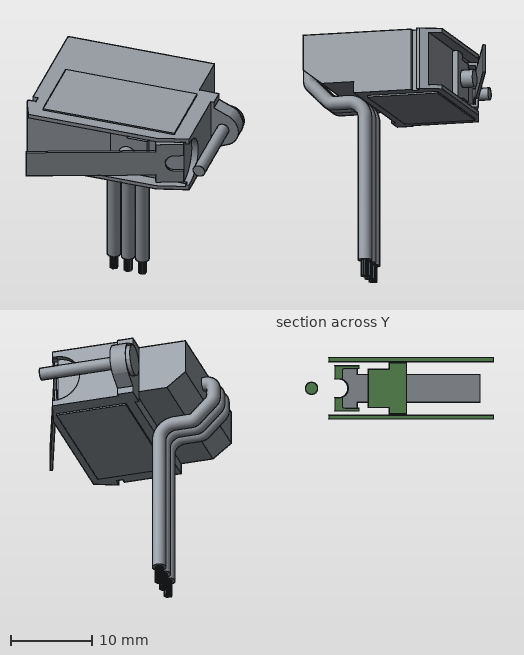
import cadquery as cq
import math


HEIGHT = 7.6
MID_Z = HEIGHT / 2
DEPTH = 17.59
BODY_LEFT = 0.38
BODY_RIGHT = 21.54
BACK_RIGHT = 19.4
HOOK_FRONT_X = 1.05
HOOK_TIP_Y = 2.6
NOTCH_FRONT_Y = 2.95
NOTCH_BACK_Y = 3.77
BEVEL_START_X = 17.65
BEVEL_END_Y = 1.08

RELIEF_FRONT_Y = 11.12
RELIEF_Z = 1.4
CHAMFER_FRONT_Y = 15.22
CHAMFER_TOP_Z = 3.22

POCKET_FLOOR_Y = 1.55
POCKET_BOTTOM_Z = 0.5
POCKET_TOP_Z = 7.08
POCKET_RIGHT = 21.1
SCOOP_LEFT = 20.72
SCOOP_RADIUS = 3.05

PAD_LEFT = 11.38
PAD_STEP_X = 13.55
PAD_RIGHT = 16.15
PAD_FRONT_Y = 0.88
PAD_WIDE = 6.25
PAD_NARROW = 4.77
PLUNGER_X = 13.58
PLUNGER_RADIUS = 1.08
PLUNGER_TIP_Y = -0.65

LABEL_LEFT = 2.43
LABEL_LENGTH = 17.05
LABEL_WIDTH = 8.98
LABEL_THICKNESS = 0.2
TOP_LABEL_FRONT_Y = 1.43
BOTTOM_LABEL_FRONT_Y = 0.97

LUG_FRONT_Y = 9.63
LUG_BACK_Y = 11.62
LUG_BLOCK_RIGHT = 21.95
LUG_ROOT_HALF = 2.95
LUG_ARC_X = 23.95
LUG_ARC_HALF = 2.05
LUG_TIP_X = 25.1
SCREW_X = 23.12
SHAFT_RADIUS = 0.75
SHAFT_TIP_Y = 0.12
HEAD_RADIUS = 1.93
HEAD_THICKNESS = 0.55

LEVER_ANGLE = 18.9
LEVER_BEND_X = 17.55
LEVER_THICKNESS = 0.32
ARM_LENGTH = 15.98
ARM_WIDTH = 3.45
SHOULDER_LENGTH = 3.42
SHOULDER_WIDTH = 5.62
FLANGE_THICKNESS = 0.38
FLANGE_DEPTH = 1.73
BEND_RADIUS = 0.15
SLOT_RADIUS = 1.15
SLOT_CENTER = 2.3

MIDDLE_WIRE_X = 10.07
WIRE_PITCH = 1.85
WIRE_RADIUS = 0.85
BEND_CLEARANCE = 0.015
TIGHT_BEND = WIRE_RADIUS + BEND_CLEARANCE
WIDE_BEND = 2.02
WIRE_EXIT_Z = 5.4
UPPER_BEND_Y = 18.02
DROP_END_Z = 3.45
WIRE_RUN_Z = 0.53
WIDE_BEND_Y = 13.9
WIRE_END_Z = -19.43
STRAND_END_Z = -21.45
STRAND_RADIUS = 0.105
STRAND_PITCH = 0.2
STRAND_RINGS = 2


def box(x_range, y_range, z_range):
    """Box between the given limits along each axis."""
    limits = (x_range, y_range, z_range)
    size = [high - low for low, high in limits]
    corner = tuple(low for low, high in limits)
    return cq.Workplane("XY").box(*size, centered=False).translate(corner)


def rod_along_y(x, radius, y_front, y_back):
    """Round rod at mid height between two Y positions."""
    back_end = cq.Workplane("XZ", origin=(x, y_back, MID_Z))
    return back_end.circle(radius).extrude(y_back - y_front)


def make_housing():
    outline = [
        (BODY_LEFT, DEPTH),
        (BACK_RIGHT, DEPTH),
        (BACK_RIGHT, LUG_BACK_Y),
        (LUG_BLOCK_RIGHT, LUG_BACK_Y),
        (LUG_BLOCK_RIGHT, LUG_FRONT_Y),
        (BODY_RIGHT, LUG_FRONT_Y),
        (BODY_RIGHT, BEVEL_END_Y),
        (BEVEL_START_X, 0),
        (HOOK_FRONT_X, 0),
        (0, HOOK_TIP_Y),
        (0, NOTCH_FRONT_Y),
        (HOOK_FRONT_X, NOTCH_FRONT_Y),
        (HOOK_FRONT_X, NOTCH_BACK_Y),
        (BODY_LEFT, NOTCH_BACK_Y),
    ]
    housing = cq.Workplane("XY").polyline(outline).close().extrude(HEIGHT)
    return housing.cut(make_wire_relief()).cut(make_pocket()).cut(make_scoop())


def make_wire_relief():
    """Step and chamfer under the rear part, where the wires pass."""
    profile = [
        (RELIEF_FRONT_Y, 0),
        (RELIEF_FRONT_Y, RELIEF_Z),
        (CHAMFER_FRONT_Y, RELIEF_Z),
        (DEPTH, CHAMFER_TOP_Z),
        (DEPTH, 0),
    ]
    return cq.Workplane("YZ").polyline(profile).close().extrude(BACK_RIGHT)


def make_pocket():
    """Pocket open to the front and to the left."""
    return box((0, POCKET_RIGHT), (0, POCKET_FLOOR_Y), (POCKET_BOTTOM_Z, POCKET_TOP_Z))


def make_scoop():
    """Round-bottomed channel from the pocket out through the right side."""
    return (
        cq.Workplane("YZ", origin=(SCOOP_LEFT, 0, MID_Z))
        .moveTo(0, SCOOP_RADIUS)
        .lineTo(POCKET_FLOOR_Y, SCOOP_RADIUS)
        .threePointArc((POCKET_FLOOR_Y + SCOOP_RADIUS, 0), (POCKET_FLOOR_Y, -SCOOP_RADIUS))
        .lineTo(0, -SCOOP_RADIUS)
        .close()
        .extrude(BODY_RIGHT - SCOOP_LEFT)
    )


def make_pad():
    pad_y = (PAD_FRONT_Y, POCKET_FLOOR_Y)
    wide_z = (MID_Z - PAD_WIDE / 2, MID_Z + PAD_WIDE / 2)
    narrow_z = (MID_Z - PAD_NARROW / 2, MID_Z + PAD_NARROW / 2)
    wide = box((PAD_LEFT, PAD_STEP_X), pad_y, wide_z)
    narrow = box((PAD_STEP_X, PAD_RIGHT), pad_y, narrow_z)
    return wide.union(narrow)


def make_label(front_y, bottom_z):
    label_x = (LABEL_LEFT, LABEL_LEFT + LABEL_LENGTH)
    return box(label_x, (front_y, front_y + LABEL_WIDTH), (bottom_z, bottom_z + LABEL_THICKNESS))


def make_lug():
    return (
        cq.Workplane("XZ", origin=(0, LUG_BACK_Y, MID_Z))
        .moveTo(LUG_BLOCK_RIGHT, LUG_ROOT_HALF)
        .lineTo(LUG_ARC_X, LUG_ARC_HALF)
        .threePointArc((LUG_TIP_X, 0), (LUG_ARC_X, -LUG_ARC_HALF))
        .lineTo(LUG_BLOCK_RIGHT, -LUG_ROOT_HALF)
        .close()
        .extrude(LUG_BACK_Y - LUG_FRONT_Y)
    )


def make_screw():
    shaft = rod_along_y(SCREW_X, SHAFT_RADIUS, SHAFT_TIP_Y, LUG_BACK_Y)
    head = rod_along_y(SCREW_X, HEAD_RADIUS, LUG_BACK_Y, LUG_BACK_Y + HEAD_THICKNESS)
    return shaft.union(head)


def make_lever():
    """Arm and channel-shaped shoulder, built flat with its outer face on Y = 0, then tilted."""
    arm_half = ARM_WIDTH / 2
    shoulder_half = SHOULDER_WIDTH / 2
    inner_half = shoulder_half - FLANGE_THICKNESS
    arm = box((-ARM_LENGTH, LEVER_THICKNESS), (0, LEVER_THICKNESS), (-arm_half, arm_half))
    shoulder = box((0, SHOULDER_LENGTH), (0, FLANGE_DEPTH), (-shoulder_half, shoulder_half))
    hollow = box((0, SHOULDER_LENGTH), (LEVER_THICKNESS, FLANGE_DEPTH), (-inner_half, inner_half))
    hollow = hollow.edges("<Y and |X").fillet(BEND_RADIUS)
    slot_y = (0, LEVER_THICKNESS)
    slot_end = cq.Workplane("XZ").center(SLOT_CENTER, 0).circle(SLOT_RADIUS).extrude(-LEVER_THICKNESS)
    slot_mouth = box((SLOT_CENTER, SHOULDER_LENGTH), slot_y, (-SLOT_RADIUS, SLOT_RADIUS))
    lever = arm.union(shoulder.cut(hollow)).cut(slot_end).cut(slot_mouth)
    tilted = lever.rotate((0, 0, 0), (0, 0, 1), LEVER_ANGLE)
    return tilted.translate((LEVER_BEND_X, 0, MID_Z))


def bend(path, center, radius, start_angle, end_angle):
    """Continue the path with a line to an arc and then the arc, angles in degrees."""
    points = []
    for angle in (start_angle, (start_angle + end_angle) / 2, end_angle):
        turn = math.radians(angle)
        points.append((center[0] + radius * math.cos(turn), center[1] + radius * math.sin(turn)))
    start, middle, end = points
    return path.lineTo(*start).threePointArc(middle, end)


def make_wire(x):
    """Insulated wire leaving the housing back, looping under it and hanging down."""
    exit_bend = (UPPER_BEND_Y, WIRE_EXIT_Z - TIGHT_BEND)
    drop_bend = (UPPER_BEND_Y, DROP_END_Z)
    run_bend_z = WIRE_RUN_Z + TIGHT_BEND
    run_bend = (UPPER_BEND_Y - (DROP_END_Z - run_bend_z), run_bend_z)
    down_bend = (WIDE_BEND_Y, WIRE_RUN_Z - WIDE_BEND)
    wire_y = WIDE_BEND_Y - WIDE_BEND

    path = cq.Workplane("YZ", origin=(x, 0, 0)).moveTo(DEPTH, WIRE_EXIT_Z)
    path = bend(path, exit_bend, TIGHT_BEND, 90, 0)
    path = bend(path, drop_bend, TIGHT_BEND, 0, -45)
    path = bend(path, run_bend, TIGHT_BEND, -45, -90)
    path = bend(path, down_bend, WIDE_BEND, 90, 180)
    path = path.lineTo(wire_y, WIRE_END_Z)
    section = cq.Workplane("XZ", origin=(x, DEPTH, WIRE_EXIT_Z)).circle(WIRE_RADIUS)
    wire = section.sweep(path)
    return wire.union(make_strands(x, wire_y))


def make_strands(x, y):
    """Bare conductor end: round strands in a hexagonal bundle with rows along Y."""
    row_spacing = STRAND_PITCH * math.sqrt(3) / 2
    centers = []
    for row in range(-STRAND_RINGS, STRAND_RINGS + 1):
        count = 2 * STRAND_RINGS + 1 - abs(row)
        for index in range(count):
            offset = (index - (count - 1) / 2) * STRAND_PITCH
            centers.append((row * row_spacing, offset))
    bundle = cq.Workplane("XY", origin=(x, y, STRAND_END_Z)).pushPoints(centers)
    return bundle.circle(STRAND_RADIUS).extrude(WIRE_END_Z - STRAND_END_Z)


result = make_housing()
result = result.union(make_pad())
result = result.union(rod_along_y(PLUNGER_X, PLUNGER_RADIUS, PLUNGER_TIP_Y, POCKET_FLOOR_Y))
result = result.union(make_label(TOP_LABEL_FRONT_Y, HEIGHT))
result = result.union(make_label(BOTTOM_LABEL_FRONT_Y, -LABEL_THICKNESS))
result = result.union(make_lug()).union(make_screw()).union(make_lever())
for step in (-1, 0, 1):
    result = result.union(make_wire(MIDDLE_WIRE_X + step * WIRE_PITCH))